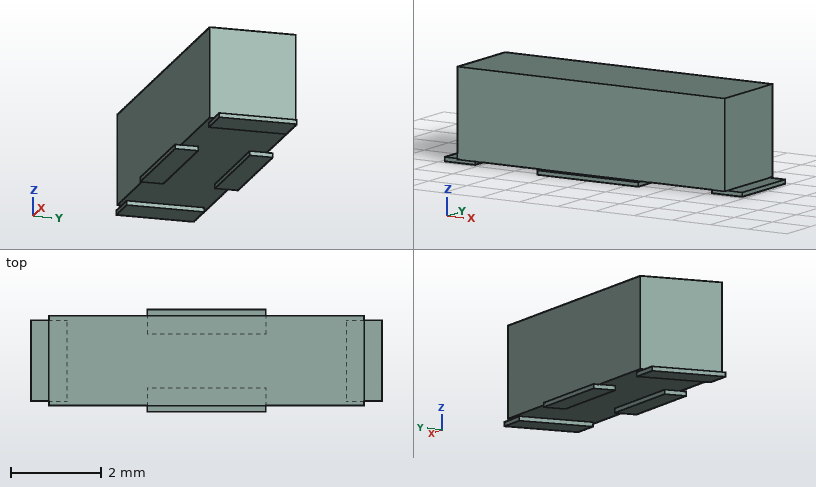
import cadquery as cq

overall_length = 7.8
overall_width = 2.27
overall_height = 2.2

terminal_thickness = 0.1
body_length = 7.0
body_width = 2.0
body_height = overall_height - terminal_thickness

end_overhang = (overall_length - body_length) / 2
side_overhang = (overall_width - body_width) / 2
terminal_overlap = end_overhang
end_terminal_length = terminal_overlap + end_overhang
end_terminal_width = 1.8
side_terminal_length = 2.64
side_terminal_width = terminal_overlap + side_overhang

end_terminal_offset = (overall_length - end_terminal_length) / 2
side_terminal_offset = (overall_width - side_terminal_width) / 2


def make_block(length, width, height, center_x, center_y, bottom_z):
    """Box centred at (center_x, center_y) with its underside at bottom_z."""
    return (
        cq.Workplane("XY")
        .box(length, width, height, centered=(True, True, False))
        .translate((center_x, center_y, bottom_z))
    )


def make_body():
    return make_block(body_length, body_width, body_height, 0, 0, terminal_thickness)


def make_end_terminal(side):
    """Flat terminal under one end of the body; side is -1 or +1 along X."""
    return make_block(
        end_terminal_length, end_terminal_width, terminal_thickness, side * end_terminal_offset, 0, 0
    )


def make_side_terminal(side):
    """Flat terminal under one long edge of the body; side is -1 or +1 along Y."""
    return make_block(
        side_terminal_length, side_terminal_width, terminal_thickness, 0, side * side_terminal_offset, 0
    )


body = make_body()
end_terminals = [make_end_terminal(side) for side in (-1, 1)]
side_terminals = [make_side_terminal(side) for side in (-1, 1)]

terminals = [terminal.val() for terminal in end_terminals + side_terminals]
result = cq.Compound.makeCompound([body.val(), *terminals])